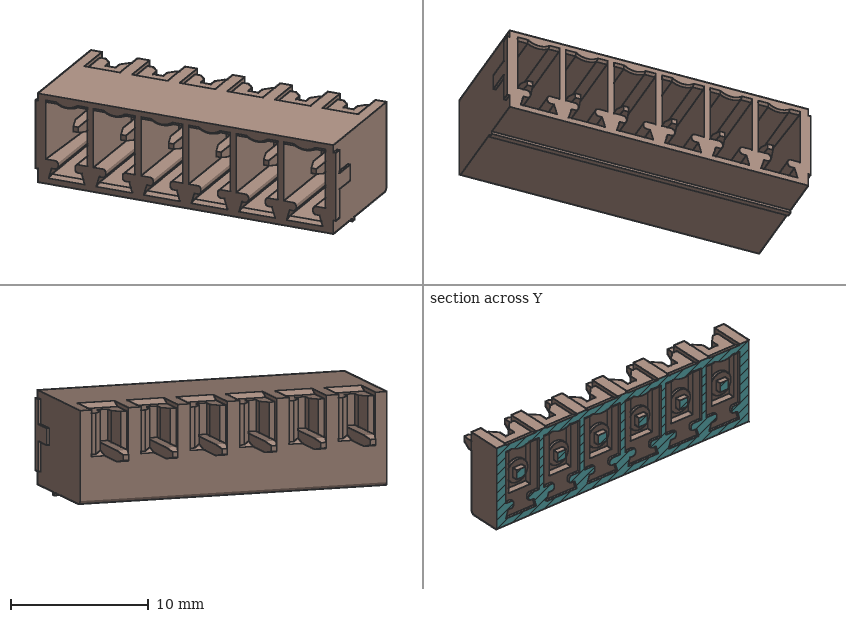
import cadquery as cq
import math

overall_width = 24.05
overall_length = 12.6
overall_height = 7.2
pole_count = 6

rib_height = 0.22
body_width = 23.67
body_depth = 9.19
body_height = overall_height - rib_height
end_margin = 2.3
pitch = (body_width - 2 * end_margin) / (pole_count - 1)
underside_rise = 0.017
rear_bottom_radius = 0.35
rib_width = 0.4
rib_distance = 3.45

pad_thickness = (overall_width - body_width) / 2
pad_bar_depth = 0.65
pad_bar_bottom = 1.05
pad_bar_top = 6.4
pad_stem_depth = 2.53
pad_stem_height = 1.25

pin_size = 0.82
pin_tip_size = 0.4
pin_tip_length = 0.8
pin_height = 3.95
pin_front = 1.6

cavity_depth = 6.5
cavity_half_width = 1.65
end_wall_draft = 0.25
ceiling_height = 6.33
ceiling_bevel = 0.22
mouth_bevel_depth = 0.17
mouth_rise = 0.22
bump_half_width = 0.82
bump_sag = 0.22
mouth_bump_half_width = 0.87
mouth_bump_sag = 0.3
shelf_height = 1.92
lip_bottom = 1.27
lip_half_gap = 0.67
lip_radius = 0.26
foot_top_half_width = 1.2
foot_half_width = 1.4
floor_height = 0.63
floor_bevel_drop = 0.17
floor_bevel_depth = 0.48

recess_half_width = 1.0
recess_draft = 0.02
recess_bottom = 2.53
recess_bottom_draft = 0.07
recess_depth = 0.48
collar_radius = 0.95
collar_height = 0.25

notch_half_width = 1.42
notch_drop = 0.31
notch_slope_depth = 0.7
notch_length = 3.05
notch_lip = 0.35
funnel_half_width = 0.95
funnel_depth = 0.94
slot_depth = 1.6
ledge_height = 3.54
ledge_angle = 14.8

pole_positions = [(i - (pole_count - 1) / 2) * pitch for i in range(pole_count)]


def box(x_min, x_max, y_min, y_max, z_min, z_max):
    """Axis-aligned block between the given limits."""
    block = cq.Workplane("XY").box(x_max - x_min, y_max - y_min, z_max - z_min, centered=False)
    return block.translate((x_min, y_min, z_min))


def side_prism(points, x_min, x_max):
    """Extrude a closed (y, z) outline along X."""
    return cq.Workplane("YZ", origin=(x_min, 0, 0)).polyline(points).close().extrude(x_max - x_min)


def housing():
    """Solid block with a slightly rising underside, a rounded rear bottom edge and a cross rib."""
    half = body_width / 2
    outline = [(0, 0), (body_depth, underside_rise), (body_depth, body_height), (0, body_height)]
    body = side_prism(outline, -half, half)
    body = body.faces(">Y").edges("<Z").fillet(rear_bottom_radius)
    rib_y = rib_distance - rib_width / 2
    return body.union(box(-half, half, rib_y, rib_y + rib_width, -rib_height, rib_height))


def latch_pads():
    """Thin T-shaped pads on both end faces, flush with the front."""
    half = overall_width / 2
    inner = half - pad_thickness
    stem_bottom = pin_height - pad_stem_height / 2
    pads = cq.Workplane("XY")
    for x_min, x_max in ((-half, -inner), (inner, half)):
        pads = pads.union(box(x_min, x_max, 0, pad_bar_depth, pad_bar_bottom, pad_bar_top))
        pads = pads.union(box(x_min, x_max, 0, pad_stem_depth, stem_bottom, stem_bottom + pad_stem_height))
    return pads


def ceiling_section(y, height, bump_half, sag):
    """Upper cavity outline at depth y, with the rounded bump hanging from its ceiling."""
    return (
        cq.Workplane("XZ", origin=(0, y, 0))
        .moveTo(-cavity_half_width, shelf_height)
        .lineTo(-cavity_half_width, height)
        .lineTo(-bump_half, height)
        .threePointArc((0, height - sag), (bump_half, height))
        .lineTo(cavity_half_width, height)
        .lineTo(cavity_half_width, shelf_height)
        .close()
    )


def upper_cavity():
    """Main plug space with a flared ceiling at the mouth and bevelled rear ceiling corners."""
    inner = (ceiling_height, bump_half_width, bump_sag)
    mouth = (ceiling_height + mouth_rise, mouth_bump_half_width, mouth_bump_sag)
    room = ceiling_section(0, *inner).extrude(-cavity_depth)
    front_wire = ceiling_section(0, *mouth).val()
    back_wire = ceiling_section(mouth_bevel_depth, *inner).val()
    flare = cq.Workplane(cq.Solid.makeLoft([front_wire, back_wire], True))
    bevel_outline = [
        (cavity_depth, ceiling_height),
        (cavity_depth - ceiling_bevel, ceiling_height),
        (cavity_depth, ceiling_height - ceiling_bevel),
    ]
    bevel = side_prism(bevel_outline, recess_half_width, cavity_half_width)
    return room.cut(bevel).cut(bevel.mirror("YZ")).union(flare)


def lower_cavity():
    """Dovetail groove entered between two rounded lips, with a bevelled floor at the mouth."""
    lip_start = lip_half_gap + lip_radius
    groove = (
        cq.Workplane("XZ")
        .moveTo(-lip_start, shelf_height)
        .radiusArc((-lip_half_gap, shelf_height - lip_radius), lip_radius)
        .lineTo(-lip_half_gap, lip_bottom + lip_radius)
        .radiusArc((-lip_start, lip_bottom), lip_radius)
        .lineTo(-foot_top_half_width, lip_bottom)
        .lineTo(-foot_half_width, floor_height)
        .lineTo(foot_half_width, floor_height)
        .lineTo(foot_top_half_width, lip_bottom)
        .lineTo(lip_start, lip_bottom)
        .radiusArc((lip_half_gap, lip_bottom + lip_radius), lip_radius)
        .lineTo(lip_half_gap, shelf_height - lip_radius)
        .radiusArc((lip_start, shelf_height), lip_radius)
        .close()
        .extrude(-cavity_depth)
    )
    side_slope = (foot_half_width - foot_top_half_width) / (lip_bottom - floor_height)
    mouth_half_width = foot_half_width + side_slope * floor_bevel_drop
    floor_bevel = (
        cq.Workplane("XZ")
        .moveTo(-foot_half_width, floor_height)
        .lineTo(foot_half_width, floor_height)
        .lineTo(mouth_half_width, floor_height - floor_bevel_drop)
        .lineTo(-mouth_half_width, floor_height - floor_bevel_drop)
        .close()
        .extrude(-floor_bevel_depth)
    )
    ramp = side_prism(
        [
            (0, floor_height - floor_bevel_drop),
            (floor_bevel_depth, floor_height),
            (floor_bevel_depth, floor_height - floor_bevel_drop),
        ],
        -mouth_half_width,
        mouth_half_width,
    )
    return groove.union(floor_bevel.cut(ramp))


def recess():
    """Slightly tapered pocket in the cavity's back wall, with a round collar left standing."""

    def section(y, inset, raise_bottom):
        half = recess_half_width - inset
        bottom = recess_bottom + raise_bottom
        height = ceiling_height - bottom
        middle = bottom + height / 2
        return cq.Workplane("XZ", origin=(0, y, middle)).rect(2 * half, height).val()

    back = cavity_depth + recess_depth
    wires = [section(cavity_depth, 0, 0), section(back, recess_draft, recess_bottom_draft)]
    pocket = cq.Workplane(cq.Solid.makeLoft(wires, True))
    collar = cq.Workplane("XZ", origin=(0, back, pin_height)).circle(collar_radius).extrude(collar_height)
    return pocket.cut(collar)


def end_wall_wedge():
    """Material that narrows the left-most cavity towards its back."""
    x_wall = pole_positions[0] - cavity_half_width
    outline = [(x_wall, 0), (x_wall + end_wall_draft, cavity_depth), (x_wall, cavity_depth)]
    wedge = cq.Workplane("XY", origin=(0, 0, shelf_height)).polyline(outline).close()
    return wedge.extrude(ceiling_height - shelf_height)


def rear_notch():
    """Shallow step in the top rear edge with a funnelled slot leading down to the pin."""
    rear = body_depth
    step_bottom = body_height - notch_drop
    step = side_prism(
        [
            (rear - notch_length, body_height),
            (rear - notch_length + notch_slope_depth, step_bottom),
            (rear, step_bottom),
            (rear, body_height),
        ],
        -notch_half_width,
        notch_half_width,
    )
    half_pin = pin_size / 2
    well = (
        cq.Workplane("XY")
        .moveTo(-notch_half_width, rear)
        .lineTo(-notch_half_width, rear - notch_lip)
        .lineTo(-funnel_half_width, rear - notch_lip)
        .lineTo(-half_pin, rear - funnel_depth)
        .lineTo(-half_pin, rear - slot_depth)
        .lineTo(half_pin, rear - slot_depth)
        .lineTo(half_pin, rear - funnel_depth)
        .lineTo(funnel_half_width, rear - notch_lip)
        .lineTo(notch_half_width, rear - notch_lip)
        .lineTo(notch_half_width, rear)
        .close()
        .extrude(body_height)
    )
    ledge_rise = slot_depth * math.tan(math.radians(ledge_angle))
    ledge = side_prism(
        [
            (rear, 0),
            (rear, ledge_height),
            (rear - slot_depth, ledge_height + ledge_rise),
            (rear - slot_depth, 0),
        ],
        -notch_half_width,
        notch_half_width,
    )
    return step.union(well.cut(ledge))


def pin():
    """Square contact pin along Y, tapered at both tips."""

    def square(y, size):
        return cq.Workplane("XZ", origin=(0, y, pin_height)).rect(size, size).val()

    stations = [
        square(pin_front, pin_tip_size),
        square(pin_front + pin_tip_length, pin_size),
        square(overall_length - pin_tip_length, pin_size),
        square(overall_length, pin_tip_size),
    ]
    return cq.Workplane(cq.Solid.makeLoft(stations, True))


result = housing().union(latch_pads())

pole_cut = upper_cavity().union(lower_cavity()).union(recess()).union(rear_notch())
for x in pole_positions:
    result = result.cut(pole_cut.translate((x, 0, 0)))

wedge = end_wall_wedge()
result = result.union(wedge).union(wedge.mirror("YZ"))

contact = pin()
for x in pole_positions:
    result = result.union(contact.translate((x, 0, 0)))